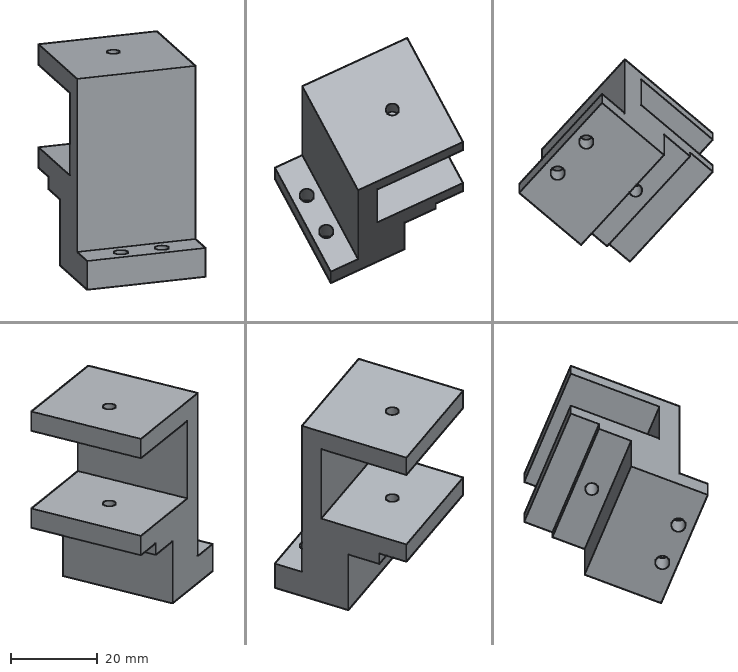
import cadquery as cq

height = 49.0
depth = 28.9

wall = 5.0
arm_reach = 22.0
arm_gap = 20.0
wall_outer_x = arm_reach + wall

step_x = 7.0
step_drop = 3.0
block_x = 15.0

foot_length = 7.0
foot_height = 7.0

arm_hole_diameter = 3.0
foot_hole_diameter = 3.3
foot_hole_spacing = 10.0

upper_arm_bottom = height - wall
lower_arm_top = upper_arm_bottom - arm_gap
lower_arm_bottom = lower_arm_top - wall
step_bottom = lower_arm_bottom - step_drop
foot_end_x = wall_outer_x + foot_length


def bracket_body():
    """Side profile in XZ, extruded symmetrically along Y."""
    outline = [
        (0, height),
        (wall_outer_x, height),
        (wall_outer_x, foot_height),
        (foot_end_x, foot_height),
        (foot_end_x, 0),
        (block_x, 0),
        (block_x, step_bottom),
        (step_x, step_bottom),
        (step_x, lower_arm_bottom),
        (0, lower_arm_bottom),
        (0, lower_arm_top),
        (arm_reach, lower_arm_top),
        (arm_reach, upper_arm_bottom),
        (0, upper_arm_bottom),
    ]
    return cq.Workplane("XZ").polyline(outline).close().extrude(depth / 2, both=True)


def vertical_drill(x, y, diameter):
    """Full-height cylinder for cutting a through hole along Z."""
    return cq.Workplane("XY").center(x, y).circle(diameter / 2).extrude(height)


result = bracket_body()

result = result.cut(vertical_drill(arm_reach / 2, 0, arm_hole_diameter))

foot_hole_x = wall_outer_x + foot_length / 2
for side in (-1, 1):
    foot_hole_y = side * foot_hole_spacing / 2
    result = result.cut(vertical_drill(foot_hole_x, foot_hole_y, foot_hole_diameter))